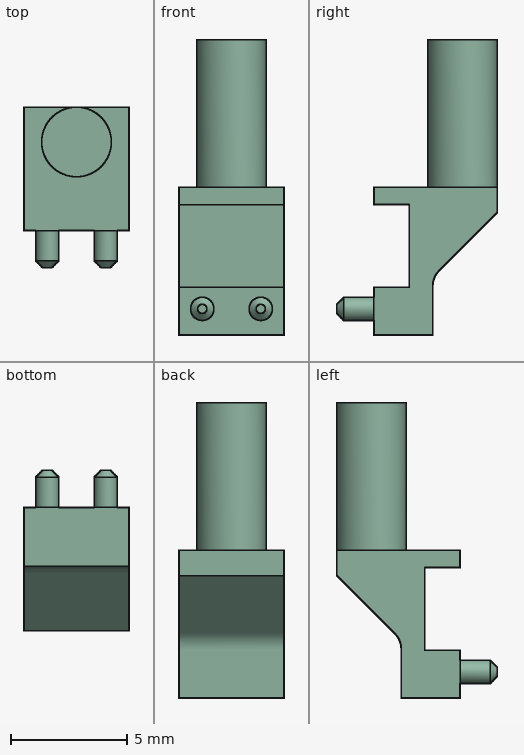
import cadquery as cq

width = 4.52
body_depth = 5.31
body_height = 6.37
flange_thickness = 0.75
foot_height = 2.07
foot_depth = 2.54
recess_depth = 1.51
back_edge_height = 1.09
bend_radius = 0.89

total_height = 12.71
post_diameter = 3.0

pin_diameter = 1.0
pin_length = 1.6
pin_pitch = 2.52
pin_height = 1.13
pin_chamfer = 0.3


def make_body():
    """Side profile with a 45 degree back slope, extruded across the width."""
    slope_top = body_height - back_edge_height
    slope_bottom = slope_top - (body_depth - foot_depth)
    flange_underside = body_height - flange_thickness
    profile = [
        (0, 0),
        (foot_depth, 0),
        (foot_depth, slope_bottom),
        (body_depth, slope_top),
        (body_depth, body_height),
        (0, body_height),
        (0, flange_underside),
        (recess_depth, flange_underside),
        (recess_depth, foot_height),
        (0, foot_height),
    ]
    body = cq.Workplane("YZ").polyline(profile).close().extrude(width / 2, both=True)
    bend_point = (0, foot_depth, slope_bottom)
    return body.edges(cq.selectors.NearestToPointSelector(bend_point)).fillet(bend_radius)


def make_post():
    """Round post standing on the body's top face."""
    return (
        cq.Workplane("XY", origin=(0, body_depth - post_diameter / 2, body_height))
        .circle(post_diameter / 2)
        .extrude(total_height - body_height)
    )


def make_pin(x):
    """Forward-pointing pin with a chamfered tip."""
    return (
        cq.Workplane("XZ", origin=(x, 0, pin_height))
        .circle(pin_diameter / 2)
        .extrude(pin_length)
        .faces("<Y")
        .chamfer(pin_chamfer)
    )


result = make_body().union(make_post())
for side in (-1, 1):
    result = result.union(make_pin(side * pin_pitch / 2))